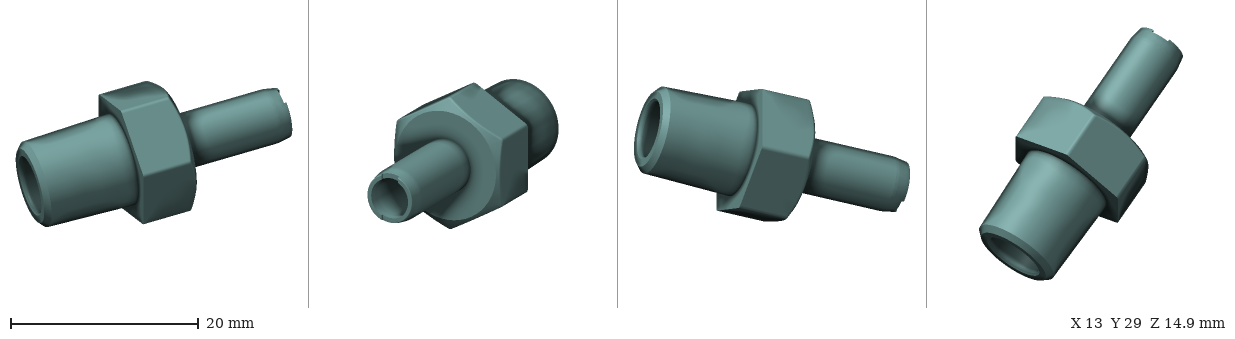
import math

import cadquery as cq

THREAD_LENGTH = 10.45
HEX_LENGTH = 6.25
TOTAL_LENGTH = 29.0
HEX_REAR = THREAD_LENGTH + HEX_LENGTH

THREAD_ROOT_RADIUS = 5.06
THREAD_TAPER = 1 / 16
THREAD_CHAMFER_LENGTH = 0.6
THREAD_FACE_RADIUS = 4.12

HEX_SIDES = 6
HEX_FLATS = 13.0
HEX_CORNER_FILLET = 0.5
HEX_CHAMFER_RADIUS = 6.1
HEX_CHAMFER_ANGLE = math.radians(30)
HEX_RIM_FILLET = 0.25

STEM_RADIUS = 3.0
TIP_LENGTH = 1.5
TIP_TAPER_ANGLE = math.radians(10)
TIP_BLEND_RADIUS = 2.0
TIP_EDGE_FILLET = 0.1
SLOT_WIDTH = 2.0
SLOT_DEPTH = 0.3

BORE_RADIUS = 3.0
BORE_DEPTH = 14.0
BORE_MOUTH_CHAMFER = 0.3
BORE_MOUTH_BLEND = 0.34
STEM_BORE_RADIUS = 2.25
BORE_STEP_INNER_BLEND = 0.6
BORE_STEP_OUTER_BLEND = 0.85


def revolve_profile(points):
    """Revolve a closed outline of (radius, y) points about the Y axis."""
    return cq.Workplane("XY").polyline(points).close().revolve(360, (0, 0, 0), (0, 1, 0))


def circle_at(y, radius):
    """Select the circular edge of the given radius centred on the axis at y."""
    tolerance = 0.01
    reach = radius + tolerance
    return cq.selectors.BoxSelector(
        (-reach, y - tolerance, -reach), (reach, y + tolerance, reach), boundingbox=True
    )


def make_thread():
    front_radius = THREAD_ROOT_RADIUS - THREAD_TAPER / 2 * (THREAD_LENGTH - THREAD_CHAMFER_LENGTH)
    return revolve_profile([
        (0, 0),
        (THREAD_FACE_RADIUS, 0),
        (front_radius, THREAD_CHAMFER_LENGTH),
        (THREAD_ROOT_RADIUS, THREAD_LENGTH),
        (0, THREAD_LENGTH),
    ])


def make_hex():
    across_corners = HEX_FLATS / math.cos(math.pi / HEX_SIDES)
    prism = (
        cq.Workplane("XZ", origin=(0, HEX_REAR, 0))
        .transformed(rotate=(0, 0, 180 / HEX_SIDES))
        .polygon(HEX_SIDES, across_corners)
        .extrude(HEX_LENGTH)
        .edges("|Y")
        .fillet(HEX_CORNER_FILLET)
    )
    cone_drop = (across_corners - HEX_CHAMFER_RADIUS) * math.tan(HEX_CHAMFER_ANGLE)
    envelope = revolve_profile([
        (0, THREAD_LENGTH),
        (across_corners, THREAD_LENGTH),
        (across_corners, HEX_REAR - cone_drop),
        (HEX_CHAMFER_RADIUS, HEX_REAR),
        (0, HEX_REAR),
    ])
    chamfered = prism.intersect(envelope)
    rim = chamfered.faces("%CONE").edges("%HYPERBOLA or %BSPLINE")
    return rim.fillet(HEX_RIM_FILLET)


def make_stem():
    tip_start = TOTAL_LENGTH - TIP_LENGTH
    tip_end_radius = STEM_RADIUS - TIP_LENGTH * math.tan(TIP_TAPER_ANGLE)
    stem = revolve_profile([
        (0, HEX_REAR),
        (STEM_RADIUS, HEX_REAR),
        (STEM_RADIUS, tip_start),
        (tip_end_radius, TOTAL_LENGTH),
        (0, TOTAL_LENGTH),
    ])
    stem = stem.edges(circle_at(tip_start, STEM_RADIUS)).fillet(TIP_BLEND_RADIUS)
    return stem.edges(circle_at(TOTAL_LENGTH, tip_end_radius)).fillet(TIP_EDGE_FILLET)


def make_bore():
    step_end = BORE_DEPTH + BORE_RADIUS - STEM_BORE_RADIUS
    bore = revolve_profile([
        (0, 0),
        (BORE_RADIUS + BORE_MOUTH_CHAMFER, 0),
        (BORE_RADIUS, BORE_MOUTH_CHAMFER),
        (BORE_RADIUS, BORE_DEPTH),
        (STEM_BORE_RADIUS, step_end),
        (STEM_BORE_RADIUS, TOTAL_LENGTH),
        (0, TOTAL_LENGTH),
    ])
    bore = bore.edges(circle_at(BORE_MOUTH_CHAMFER, BORE_RADIUS)).fillet(BORE_MOUTH_BLEND)
    bore = bore.edges(circle_at(BORE_DEPTH, BORE_RADIUS)).fillet(BORE_STEP_INNER_BLEND)
    return bore.edges(circle_at(step_end, STEM_BORE_RADIUS)).fillet(BORE_STEP_OUTER_BLEND)


def make_tip_slot():
    """Slot along Z across the tube end, notching both walls."""
    slot_span = 4 * STEM_RADIUS
    return (
        cq.Workplane("XY", origin=(0, TOTAL_LENGTH, 0))
        .box(SLOT_WIDTH, 2 * SLOT_DEPTH, slot_span)
    )


result = make_thread().union(make_hex()).union(make_stem()).cut(make_bore()).cut(make_tip_slot())